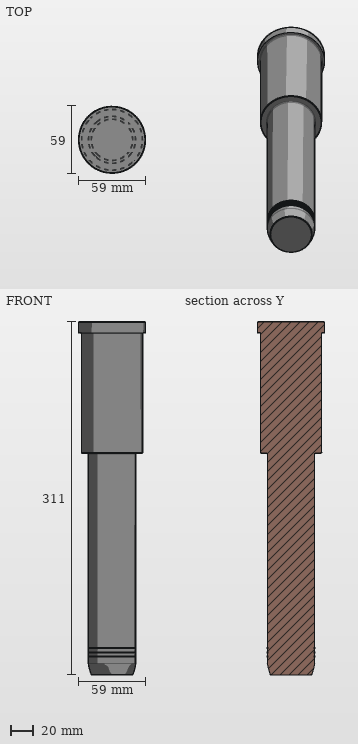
import cadquery as cq

total_length = 311.0

head_radius = 29.5
head_height = 10.0
head_chamfer = 0.5

body_radius = 27.0
body_bottom = 195.0
body_chamfer = 0.5

corner_fillet = 0.5

shaft_radius = 42.0 / 2
nose_height = 10.0
nose_end_radius = 37.0 / 2
nose_mid_radius = 40.0 / 2
tip_chamfer = 0.5

groove_count = 3
groove_width = 1.0
groove_depth = 0.5
groove_pitch = 3.7
lowest_groove_z = 16.2

head_bottom = total_length - head_height
nose_mid_z = (tip_chamfer + nose_height) / 2


def make_stepped_pin():
    """Revolve the half profile of head, body, shaft and nose about Z."""
    return (
        cq.Workplane("XZ")
        .moveTo(0, 0)
        .lineTo(nose_end_radius - tip_chamfer, 0)
        .lineTo(nose_end_radius, tip_chamfer)
        .threePointArc((nose_mid_radius, nose_mid_z), (shaft_radius, nose_height))
        .lineTo(shaft_radius, body_bottom - corner_fillet)
        .radiusArc((shaft_radius + corner_fillet, body_bottom), corner_fillet)
        .lineTo(body_radius - body_chamfer, body_bottom)
        .lineTo(body_radius, body_bottom + body_chamfer)
        .lineTo(body_radius, head_bottom - corner_fillet)
        .radiusArc((body_radius + corner_fillet, head_bottom), corner_fillet)
        .lineTo(head_radius, head_bottom)
        .lineTo(head_radius, total_length - head_chamfer)
        .lineTo(head_radius - head_chamfer, total_length)
        .lineTo(0, total_length)
        .close()
        .revolve(360, (0, 0), (0, 1))
    )


def make_groove_ring(center_z):
    """Ring of material to cut away for one groove."""
    return (
        cq.Workplane("XY", origin=(0, 0, center_z - groove_width / 2))
        .circle(body_radius)
        .circle(shaft_radius - groove_depth)
        .extrude(groove_width)
    )


result = make_stepped_pin()
for index in range(groove_count):
    result = result.cut(make_groove_ring(lowest_groove_z + index * groove_pitch))